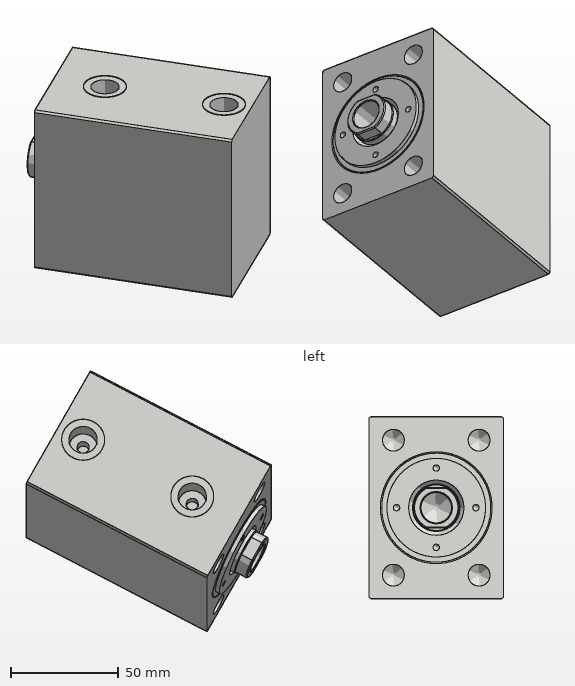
import cadquery as cq
import math


TOTAL_LENGTH = 106.0
BLOCK_WIDTH = 63.0
BLOCK_HEIGHT = 85.0
EDGE_CHAMFER = 1.0
DRILL_TIP_ANGLE = 118.0

FLANGE_PROJECTION = 2.0
COLLAR_PROJECTION = 1.9
ROD_END_LENGTH = 6.0
ROD_TIP_X = -(FLANGE_PROJECTION + COLLAR_PROJECTION + ROD_END_LENGTH)
BLOCK_LENGTH = TOTAL_LENGTH + ROD_TIP_X

GLAND_DIAMETER = 50.9
GLAND_DEPTH = 33.9
BORE_CHAMFER = 0.6
FLANGE_DIAMETER = 46.0
ROD_SEAT_CHAMFER = 1.8
PIN_HOLE_DIAMETER = 3.0
PIN_HOLE_DEPTH = 4.2
PIN_CIRCLE_DIAMETER = 37.0

ROD_DIAMETER = 22.2
ROD_END_DIAMETER = 21.3
COLLAR_CHAMFER = (ROD_DIAMETER - ROD_END_DIAMETER) / 2
ROD_END_CHAMFER = 0.5
ACROSS_FLATS = 19.0
ROD_BORE_DIAMETER = 14.2
ROD_BORE_DEPTH = 21.2
ROD_BORE_CHAMFER = 0.4

MOUNT_HOLE_DIAMETER = 10.2
MOUNT_HOLE_DEPTH = 21.2
MOUNT_SPACING_Y = 40.0
MOUNT_SPACING_Z = 63.0

FRONT_PORT_X = 24.9
PORT_SPACING = 58.0
SPOTFACE_DIAMETER = 20.0
SPOTFACE_DEPTH = 0.3
PORT_DIAMETER = 13.1
PORT_DEPTH = 12.0
PASSAGE_DIAMETER = 5.6
PASSAGE_DEPTH = 19.1


def cylinder_x(diameter, x_start, x_end):
    """Cylinder about the X axis."""
    return (
        cq.Workplane("YZ", origin=(x_start, 0, 0))
        .circle(diameter / 2)
        .extrude(x_end - x_start)
    )


def cone_x(diameter, x_start, depth):
    """45-degree countersink, widest at x_start and narrowing to the given diameter along +X."""
    radius = diameter / 2
    profile = [
        (x_start, 0),
        (x_start, radius + depth),
        (x_start + depth, radius),
        (x_start + depth, 0),
    ]
    return cq.Workplane("XY").polyline(profile).close().revolve(360, (0, 0, 0), (1, 0, 0))


def drilled_hole_x(diameter, x_start, depth, y=0, z=0):
    """Blind hole along +X with a conical drill point beyond its full-diameter depth."""
    radius = diameter / 2
    tip_length = radius / math.tan(math.radians(DRILL_TIP_ANGLE / 2))
    profile = [
        (x_start, 0),
        (x_start, radius),
        (x_start + depth, radius),
        (x_start + depth + tip_length, 0),
    ]
    hole = cq.Workplane("XY").polyline(profile).close().revolve(360, (0, 0, 0), (1, 0, 0))
    return hole.translate((0, y, z))


def port(x):
    """Spotface, threaded port and oil passage, drilled down from the top face."""
    top = BLOCK_HEIGHT / 2
    tool = cq.Workplane("XY")
    steps = [
        (SPOTFACE_DIAMETER, SPOTFACE_DEPTH),
        (PORT_DIAMETER, PORT_DEPTH),
        (PASSAGE_DIAMETER, PASSAGE_DEPTH),
    ]
    for diameter, depth in steps:
        step = cq.Workplane("XY", origin=(x, 0, top)).circle(diameter / 2).extrude(-depth)
        tool = tool.union(step)
    return tool


def make_housing():
    housing = (
        cq.Workplane("XY")
        .box(BLOCK_LENGTH, BLOCK_WIDTH, BLOCK_HEIGHT, centered=(False, True, True))
        .edges("|X")
        .chamfer(EDGE_CHAMFER)
    )

    housing = housing.cut(cylinder_x(GLAND_DIAMETER, 0, GLAND_DEPTH))
    housing = housing.cut(cone_x(GLAND_DIAMETER, 0, BORE_CHAMFER))

    for y_side in (-1, 1):
        for z_side in (-1, 1):
            y = y_side * MOUNT_SPACING_Y / 2
            z = z_side * MOUNT_SPACING_Z / 2
            housing = housing.cut(drilled_hole_x(MOUNT_HOLE_DIAMETER, 0, MOUNT_HOLE_DEPTH, y, z))

    for x in (FRONT_PORT_X, FRONT_PORT_X + PORT_SPACING):
        housing = housing.cut(port(x))
    return housing


def make_gland():
    flange = cylinder_x(FLANGE_DIAMETER, -FLANGE_PROJECTION, 0)
    gland = cylinder_x(GLAND_DIAMETER, 0, GLAND_DEPTH).union(flange)

    gland = gland.cut(cylinder_x(ROD_DIAMETER, -FLANGE_PROJECTION, GLAND_DEPTH))
    gland = gland.cut(cone_x(ROD_DIAMETER, -FLANGE_PROJECTION, ROD_SEAT_CHAMFER))

    pin_radius = PIN_CIRCLE_DIAMETER / 2
    for y, z in ((pin_radius, 0), (0, pin_radius), (-pin_radius, 0), (0, -pin_radius)):
        gland = gland.cut(drilled_hole_x(PIN_HOLE_DIAMETER, -FLANGE_PROJECTION, PIN_HOLE_DEPTH, y, z))
    return gland


def make_rod():
    collar_x = ROD_TIP_X + ROD_END_LENGTH
    shaft = cylinder_x(ROD_DIAMETER, collar_x, GLAND_DEPTH).faces("<X").chamfer(COLLAR_CHAMFER)

    flats = cq.Workplane("XY", origin=(ROD_TIP_X, 0, 0)).box(
        ROD_END_LENGTH, ROD_END_DIAMETER, ACROSS_FLATS, centered=(False, True, True)
    )
    rod_end = cylinder_x(ROD_END_DIAMETER, ROD_TIP_X, collar_x).intersect(flats)
    rod_end = rod_end.faces("<X").chamfer(ROD_END_CHAMFER)

    rod = shaft.union(rod_end)
    rod = rod.cut(drilled_hole_x(ROD_BORE_DIAMETER, ROD_TIP_X, ROD_BORE_DEPTH))
    return rod.cut(cone_x(ROD_BORE_DIAMETER, ROD_TIP_X, ROD_BORE_CHAMFER))


housing = make_housing()
gland = make_gland()
rod = make_rod()

result = cq.Compound.makeCompound([housing.val(), gland.val(), rod.val()])